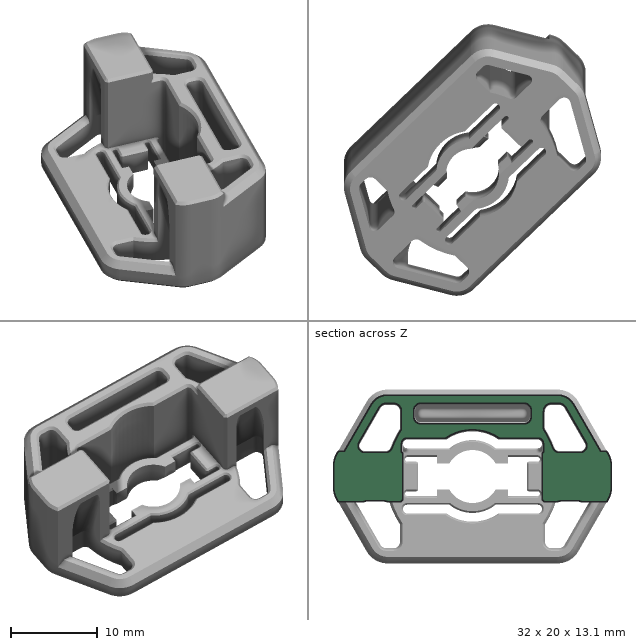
import cadquery as cq
import math

length = 32.0
width = 20.0
plate_top = 3.0
rear_top = 11.6
block_top = 13.1

side_corner_y = 2.0
side_slope = math.radians(60)
corner_radius = 2.75
top_bevel = 0.75
bottom_bevel = 0.7
rim_width = 1.75
edge_chamfer = 0.3
slot_chamfer = 0.2

cavity_half_x = 8.0
block_half_y = 2.95

bore_radius = 3.05
arm_outer_radius = 4.2
slot_outer_radius = 5.2
arm_inner_y = 2.25
arm_outer_y = 3.25
slot_outer_y = 4.25
slot_corner_radius = 0.5
tooth_half_x = 4.1
tooth_tip_y = 1.5
tooth_bevel_height = 1.0

opening_half_x = 7.75
tab_tip_x = 6.25
tab_half_y = 1.7
tab_corner_radius = 0.25

window_inner_x = 8.35
window_arc_radius = 10.0
window_corner_radius = 0.75
rear_window_end_radius = 0.6

recess_depth = 2.2
recess_top = 11.9

pocket_half_x = 6.6
pocket_front_y = 6.25
pocket_corner_radius = 0.65
pocket_floor = plate_top

half_length = length / 2
half_width = width / 2
clear_y = width
end_round_ratio = 0.98


def box(x_min, x_max, y_min, y_max, z_min, z_max):
    size = (x_max - x_min, y_max - y_min, z_max - z_min)
    return cq.Workplane("XY").box(*size, centered=False).translate((x_min, y_min, z_min))


def slope_x(y, inset=0.0):
    """X of the sloping side on the +X half at a given positive Y, moved inward by inset."""
    return half_length - (y - side_corner_y) / math.tan(side_slope) - inset / math.sin(side_slope)


def hexagon(height):
    """Rounded hexagonal prism with a bevelled bottom edge."""
    top_x = slope_x(half_width)
    outline = [
        (half_length, -side_corner_y),
        (half_length, side_corner_y),
        (top_x, half_width),
        (-top_x, half_width),
        (-half_length, side_corner_y),
        (-half_length, -side_corner_y),
        (-top_x, -half_width),
        (top_x, -half_width),
    ]
    prism = cq.Workplane("XY").polyline(outline).close().extrude(height)
    return prism.edges("|Z").fillet(corner_radius).faces("<Z").chamfer(bottom_bevel)


def upright_edges(prism, x):
    """Vertical edges standing at the given X."""
    reach = 0.1
    near_x = cq.selectors.BoxSelector((x - reach, -clear_y, 0), (x + reach, clear_y, block_top))
    return prism.edges("|Z").edges(near_x)


def both_ends(shape):
    return shape.union(shape.mirror("YZ"))


def flared(prism, top, chamfer):
    """Cutter made from a prism ending at height top, widened by a 45 degree chamfer there."""
    rim = prism.faces(">Z").wires().translate((0, 0, -chamfer))
    flare = rim.toPending().extrude(chamfer, taper=-45)
    return prism.union(flare)


def end_block():
    block = hexagon(block_top).intersect(
        box(cavity_half_x, half_length, -block_half_y, block_half_y, 0, block_top)
    )
    block = upright_edges(block, cavity_half_x).chamfer(edge_chamfer)
    return block.faces(">Z").chamfer(edge_chamfer)


def bulged_outline(half_x, near_y, flat_y, bulge_radius, near_bulge_radius=None):
    """Strip along X from near_y to flat_y, with arcs about the origin bulging toward +Y."""
    far_x = math.sqrt(bulge_radius**2 - flat_y**2)
    path = cq.Workplane("XY").moveTo(-half_x, near_y)
    if near_bulge_radius:
        near_x = math.sqrt(near_bulge_radius**2 - near_y**2)
        path = path.lineTo(-near_x, near_y).threePointArc((0, near_bulge_radius), (near_x, near_y))
    path = path.lineTo(half_x, near_y).lineTo(half_x, flat_y).lineTo(far_x, flat_y)
    return path.threePointArc((0, bulge_radius), (-far_x, flat_y)).lineTo(-half_x, flat_y).close()


def round_ends(prism, half_x, radius):
    prism = upright_edges(prism, half_x).fillet(radius)
    return upright_edges(prism, -half_x).fillet(radius)


def cavity(height):
    """Space between the blocks, in front of the rear wall."""
    outline = bulged_outline(cavity_half_x, -clear_y, slot_outer_y, slot_outer_radius)
    prism = outline.extrude(height)
    return round_ends(prism, cavity_half_x, slot_corner_radius)


def arm_slot():
    """Slot behind the rear spring arm; its mirror image lies in front of the front arm."""
    outline = bulged_outline(cavity_half_x, arm_outer_y, slot_outer_y, slot_outer_radius, arm_outer_radius)
    prism = outline.extrude(plate_top)
    prism = round_ends(prism, cavity_half_x, slot_corner_radius * end_round_ratio)
    return flared(prism, plate_top, slot_chamfer)


def tab_opening():
    """C-shaped opening around the latch tab on the +X side."""
    notch_radius = (arm_inner_y - tab_half_y) / 2 * end_round_ratio
    prism = box(0, opening_half_x, -arm_inner_y, arm_inner_y, 0, plate_top).cut(
        box(tab_tip_x, half_length, -tab_half_y, tab_half_y, 0, plate_top)
    )
    prism = upright_edges(prism, opening_half_x).fillet(notch_radius)
    prism = upright_edges(prism, tab_tip_x).fillet(tab_corner_radius)
    opening = flared(prism, plate_top, slot_chamfer)
    return opening.intersect(box(tooth_half_x, half_length, -clear_y, clear_y, 0, plate_top))


def central_opening():
    channel = box(-tooth_half_x, tooth_half_x, -tooth_tip_y, tooth_tip_y, 0, plate_top)
    bore = cq.Workplane("XY").circle(bore_radius).extrude(plate_top)
    lead_in = (
        cq.Workplane("YZ", origin=(-tooth_half_x, 0, 0))
        .polyline(
            [
                (-arm_inner_y, 0),
                (arm_inner_y, 0),
                (tooth_tip_y, tooth_bevel_height),
                (-tooth_tip_y, tooth_bevel_height),
            ]
        )
        .close()
        .extrude(2 * tooth_half_x)
    )
    return both_ends(tab_opening()).union(channel).union(bore).union(lead_in)


def window_prism(end_inner_y, height):
    """Sharp-cornered window on the +X, +Y corner, reaching inward to end_inner_y."""
    far_y = half_width - rim_width
    arc_start_y = math.sqrt(window_arc_radius**2 - window_inner_x**2)
    arc_end_x = math.sqrt(window_arc_radius**2 - end_inner_y**2)
    mid_y = (arc_start_y + end_inner_y) / 2
    mid_x = math.sqrt(window_arc_radius**2 - mid_y**2)
    return (
        cq.Workplane("XY")
        .moveTo(slope_x(end_inner_y, rim_width), end_inner_y)
        .lineTo(slope_x(far_y, rim_width), far_y)
        .lineTo(window_inner_x, far_y)
        .lineTo(window_inner_x, arc_start_y)
        .threePointArc((mid_x, mid_y), (arc_end_x, end_inner_y))
        .close()
        .extrude(height)
    )


def rear_window():
    prism = window_prism(block_half_y, rear_top)
    prism = prism.edges("|Z and >Y").fillet(window_corner_radius)
    prism = prism.edges("|Z and <Y").fillet(rear_window_end_radius)
    return flared(prism, rear_top, edge_chamfer)


def front_window():
    """Window through the plate plus the sloping recess above it, on the +X, -Y corner."""
    back_y = block_half_y - recess_depth
    slope = (
        cq.Workplane("YZ")
        .polyline([(0, plate_top), (back_y, plate_top), (block_half_y, recess_top), (0, recess_top)])
        .close()
        .extrude(half_length)
    )
    recess = window_prism(back_y, recess_top).cut(slope)
    recess = recess.edges("|Z and >Y").fillet(window_corner_radius)
    leaning = cq.selectors.BoxSelector((0, back_y, plate_top), (half_length, block_half_y, recess_top))
    back_corners = recess.edges("|Z and <Y").add(recess.edges("not(|Z or |X or #Z)").edges(leaning))
    recess = recess.newObject(back_corners.vals()).fillet(window_corner_radius)

    rim = window_prism(back_y, plate_top).edges("|Z and >Y").fillet(window_corner_radius)
    rim = flared(rim, plate_top, edge_chamfer)
    rim = rim.intersect(box(0, half_length, block_half_y, clear_y, 0, plate_top))
    return recess.union(rim).mirror("XZ")


def pocket():
    prism = box(
        -pocket_half_x, pocket_half_x, pocket_front_y, half_width - rim_width, pocket_floor, rear_top
    )
    prism = prism.edges("|Z").fillet(pocket_corner_radius)
    return flared(prism, rear_top, edge_chamfer)


def rear_wall():
    """Tall wall along the +Y side, with the cavity and the pocket cut out of it."""
    wall = hexagon(rear_top).faces(">Z").chamfer(top_bevel)
    wall = wall.intersect(box(-half_length, half_length, 0, clear_y, 0, rear_top))
    open_space = flared(cavity(rear_top), rear_top, edge_chamfer)
    above_plate = box(-half_length, half_length, -clear_y, clear_y, plate_top, rear_top)
    return wall.cut(open_space.intersect(above_plate)).cut(pocket())


plate = hexagon(plate_top).faces(">Z").chamfer(top_bevel)
body = plate.union(rear_wall()).union(both_ends(end_block()))
body = body.cut(both_ends(rear_window())).cut(both_ends(front_window()))

rear_slot = arm_slot().intersect(cavity(plate_top))
front_slot = arm_slot().mirror("XZ")
result = body.cut(rear_slot).cut(front_slot).cut(central_opening())